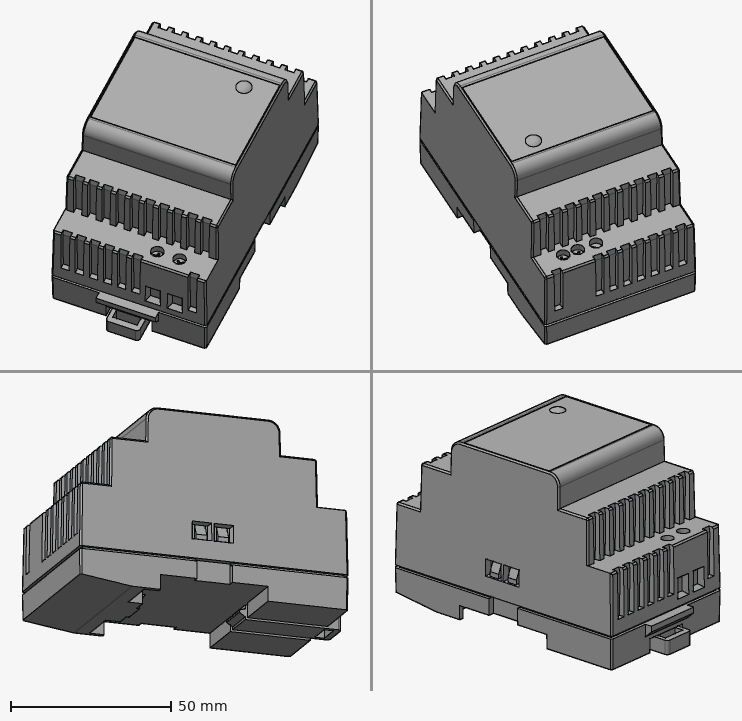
import cadquery as cq
import math


width = 52.5
body_length = 89.2
body_front = -body_length / 2
latch_reach = 49.9
draft_angle = 1.0
draft = math.tan(math.radians(draft_angle))

base_top = 10.5
joint_top = 11.4
joint_inset = 1.1
lower_top = 32.5
middle_top = 48.3
housing_top = 59.5
total_height = 60.3

middle_half_length = 34.6
upper_half_length = 22.4
crown_radius = 4.0
edge_chamfer = 0.6

rail_ceiling = 4.8
rail_half_width = 17.9


def box(x0, x1, y0, y1, z0, z1):
    """Block between two opposite corners."""
    return cq.Workplane("XY").box(x1 - x0, y1 - y0, z1 - z0, centered=False).translate((x0, y0, z0))


def x_prism(points, half_width):
    """Outline given as (Y, Z) points, extruded symmetrically about X = 0."""
    return cq.Workplane("YZ").polyline(points).close().extrude(half_width, both=True)


def drafted(half_length, rise):
    return half_length - rise * draft


def make_housing():
    c = edge_chamfer
    lower_end = drafted(body_length / 2, lower_top - joint_top)
    middle_end = drafted(middle_half_length, middle_top - lower_top)
    upper_rise = housing_top - crown_radius - middle_top
    upper_end = drafted(upper_half_length, upper_rise)
    crown_flat = upper_end - crown_radius
    crown_offset = crown_radius * math.sqrt(0.5)
    crown_mid = (crown_flat + crown_offset, housing_top - crown_radius + crown_offset)

    half_outline = [
        (body_length / 2, joint_top),
        (lower_end, lower_top - c),
        (lower_end - c, lower_top),
        (middle_half_length, lower_top),
        (middle_end, middle_top - c),
        (middle_end - c, middle_top),
        (upper_half_length, middle_top),
        (upper_end, housing_top - crown_radius),
    ]
    mirrored = [(-y, z) for y, z in reversed(half_outline)]
    profile = (
        cq.Workplane("YZ").polyline(half_outline)
        .threePointArc(crown_mid, (crown_flat, housing_top))
        .lineTo(-crown_flat, housing_top)
        .threePointArc((-crown_mid[0], crown_mid[1]), mirrored[0])
    )
    for point in mirrored[1:]:
        profile = profile.lineTo(*point)
    stepped = profile.close().extrude(width / 2, both=True)

    top_half_width = drafted(width / 2, housing_top - joint_top)
    side_draft = (
        cq.Workplane("XZ")
        .polyline([(-width / 2, joint_top), (width / 2, joint_top),
                   (top_half_width, housing_top), (-top_half_width, housing_top)])
        .close().extrude(body_length, both=True)
    )
    housing = stepped.intersect(side_draft)

    rims = []
    for edge in housing.faces("<X or >X").edges().vals():
        middle = edge.Center()
        at_joint = middle.z < joint_top + c
        on_front_shelf = abs(middle.z - lower_top) < c and middle.y < 0
        if not at_joint and not on_front_shelf:
            rims.append(edge)
    return housing.newObject(rims).chamfer(c)


slot_count = 10
first_slot_x = -21.6
last_slot_x = 21.4
slot_pitch = (last_slot_x - first_slot_x) / (slot_count - 1)
slot_top_width = 3.0
slot_narrowing = 0.3
slot_depth = 1.9
slot_lead_height = 1.9
slot_lead_depth = 0.4
lower_slot_floor = 16.2
front_lower_slots = [0, 1, 2, 3, 4, 5, 9]
back_lower_slots = [0, 1, 2, 3, 4, 5, 6, 9]


def slot_cutter(index, end, tier_half_length, floor, top):
    """Slot tapering in width toward its floor; end is -1 for the front and +1 for the back."""
    center = first_slot_x + index * slot_pitch
    top_half = slot_top_width / 2
    floor_half = top_half - slot_narrowing / 2
    back_wall = end * (tier_half_length - slot_depth)
    outside = end * (tier_half_length + slot_depth)
    lead_wall = back_wall - end * slot_lead_depth
    width_wedge = (
        cq.Workplane("XZ")
        .polyline([(center - floor_half, floor), (center + floor_half, floor),
                   (center + top_half, top), (center - top_half, top)])
        .close().extrude(body_length, both=True)
    )
    side_profile = [(outside, floor), (back_wall, floor), (back_wall, top - slot_lead_height),
                    (lead_wall, top), (outside, top)]
    return x_prism(side_profile, width).intersect(width_wedge)


def cut_slots(housing):
    for end, lower_slots in ((-1, front_lower_slots), (1, back_lower_slots)):
        for index in range(slot_count):
            housing = housing.cut(slot_cutter(index, end, middle_half_length, lower_top, middle_top))
        for index in lower_slots:
            housing = housing.cut(slot_cutter(index, end, body_length / 2, lower_slot_floor, lower_top))
    return housing


screw_radius = 2.1
screw_depth = 2.4
drive_length = 2.8
drive_width = 0.6
drive_depth = 0.5
front_screws_y = -38.8
back_screws_y = 37.7
screws = [
    (7.2, front_screws_y, (0, 90)),
    (14.7, front_screws_y, (45, 135)),
    (5.2, back_screws_y, (135,)),
    (11.5, back_screws_y, (45, 135)),
    (16.6, back_screws_y, (0, 90)),
]


def cut_screws(housing):
    head = lower_top - screw_depth
    for x, y, angles in screws:
        well = cq.Workplane("XY").circle(screw_radius).extrude(screw_depth)
        housing = housing.cut(well.translate((x, y, head)))
        for angle in angles:
            drive = cq.Workplane("XY").rect(drive_length, drive_width).extrude(-drive_depth)
            drive = drive.rotate((0, 0, 0), (0, 0, 1), angle)
            housing = housing.cut(drive.translate((x, y, head)))
    return housing


wire_entry_x = [8.1, 15.6]
wire_entry_z = 17.5
wire_entry_size = (5.3, 7.2)
wire_entry_inner = (3.1, 5.0)
wire_entry_depth = 1.9


def cut_wire_entries(housing):
    for x in wire_entry_x:
        funnel = (
            cq.Workplane("XZ", origin=(x, body_front, wire_entry_z)).rect(*wire_entry_size)
            .workplane(offset=-wire_entry_depth).rect(*wire_entry_inner).loft()
        )
        housing = housing.cut(funnel)
    return housing


socket_y = [4.1, -3.2]
socket_size = (6.5, 5.9)
socket_bottom = 17.7
socket_depth = 2.2
socket_floor_size = (5.2, 4.7)
sill_rise = 0.6
ramp_width = 3.5
ramp_setback = 0.7
ramp_foot = 19.5


def cut_sockets(housing):
    side = -width / 2
    floor_x = side + socket_depth
    block_x = side + ramp_setback
    mouth_center = socket_bottom + socket_size[1] / 2
    sill = socket_bottom + sill_rise
    floor_center = sill + socket_floor_size[1] / 2
    ramp_top = sill + socket_floor_size[1]
    ramp_outline = [(floor_x, socket_bottom), (block_x, socket_bottom),
                    (block_x, ramp_foot), (floor_x, ramp_top)]
    for y in socket_y:
        mouth = (
            cq.Workplane("YZ", origin=(side, y, mouth_center)).rect(*socket_size)
            .workplane(offset=socket_depth).center(0, floor_center - mouth_center)
            .rect(*socket_floor_size).loft()
        )
        ramp = (
            cq.Workplane("XZ", origin=(0, y, 0)).polyline(ramp_outline)
            .close().extrude(ramp_width / 2, both=True)
        )
        housing = housing.cut(mouth).union(ramp)
    return housing


label_half_width = 24.6
label_half_length = 17.5
label_depth = 0.2
lens_x = 14.5
lens_y = 12.5
lens_radius = 2.55


def finish_crown(housing):
    floor = housing_top - label_depth
    recess = box(-label_half_width, label_half_width, -label_half_length, label_half_length,
                 floor, total_height)
    rise = total_height - floor
    sphere_radius = (lens_radius ** 2 + rise ** 2) / (2 * rise)
    ball = cq.Workplane("XY").sphere(sphere_radius).translate((lens_x, lens_y, total_height - sphere_radius))
    lens = ball.intersect(
        cq.Workplane("XY").circle(lens_radius).extrude(2 * rise).translate((lens_x, lens_y, floor - rise))
    )
    return housing.cut(recess).union(lens)


heel_start = 27.3
heel_rise = 2.3
side_notch_center = -0.1
side_notch_length = 11.7
side_notch_depth = 2.3
foot_wall = 1.8
clip_half_width = 10.1
foot_relief_end = 22.7


def make_base():
    base = (
        cq.Workplane("XY", origin=(0, 0, base_top)).rect(width, body_length)
        .extrude(-base_top, taper=draft_angle)
        .edges("not (#Z or |X or |Y)").chamfer(edge_chamfer)
    )
    heel = x_prism([(heel_start, 0), (body_length / 2, heel_rise), (body_length / 2, 0)], width)
    base = base.cut(heel)
    base = base.cut(box(-width, width, -rail_half_width, rail_half_width, 0, rail_ceiling))

    inner_half_width = width / 2 - foot_wall
    for x0, x1 in ((-inner_half_width, -clip_half_width), (clip_half_width, inner_half_width)):
        base = base.cut(box(x0, x1, rail_half_width, foot_relief_end, 0, rail_ceiling))
    return base


def make_joint():
    """Core that joins base and housing behind the groove."""
    half_width = width / 2 - joint_inset
    half_length = body_length / 2 - joint_inset
    return box(-half_width, half_width, -half_length, half_length, rail_ceiling, joint_top + edge_chamfer)


def cut_side_notches(part):
    """Recess the middle of both sides, from the rail ceiling up to the housing."""
    notch_front = side_notch_center - side_notch_length / 2
    notch_back = side_notch_center + side_notch_length / 2
    notch_floor = width / 2 - side_notch_depth
    for x0, x1 in ((-width, -notch_floor), (notch_floor, width)):
        part = part.cut(box(x0, x1, notch_front, notch_back, rail_ceiling, joint_top))
    return part


rear_lip_height = 2.9
rear_lip_reach = 0.9
rear_hook = [(16.7, rail_ceiling), (14.9, rail_ceiling), (16.0, 3.6)]
hook_half_width = 4.7

bar_reach = 2.5
bar_face_bottom = 8.5
bar_bottom = 6.2

channel_half_width = 7.7
latch_half_width = 5.7
latch_corner_radius = 1.1
window_half_width = 4.2
window_front = -47.7
nose_tip = -15.9
nose_root_z = (0.85, 3.6)
nose_tip_z = (2.2, 2.8)


def add_rear_clip(base):
    lip = box(-hook_half_width, hook_half_width, rail_half_width - rear_lip_reach, rail_half_width,
              0, rear_lip_height)
    return base.union(lip).union(x_prism(rear_hook, hook_half_width))


def add_pry_bar(base):
    face = body_front - bar_reach
    root = body_front + joint_inset
    outline = [(root, bar_bottom), (body_front, bar_bottom), (face, bar_face_bottom),
               (face, base_top), (root, base_top)]
    return base.union(x_prism(outline, clip_half_width))


def add_latch(base):
    channel = box(-channel_half_width, channel_half_width, -body_length, -rail_half_width, 0, rail_ceiling)
    latch = box(-latch_half_width, latch_half_width, -latch_reach, -rail_half_width, 0, rail_ceiling)
    latch = latch.edges("|Z and <Y").fillet(latch_corner_radius)
    latch = latch.cut(box(-window_half_width, window_half_width, window_front, body_front, 0, rail_ceiling))
    nose = x_prism([(-rail_half_width, nose_root_z[0]), (nose_tip, nose_tip_z[0]),
                    (nose_tip, nose_tip_z[1]), (-rail_half_width, nose_root_z[1])], latch_half_width)
    return base.cut(channel).union(latch).union(nose)


housing = finish_crown(cut_sockets(cut_wire_entries(cut_screws(cut_slots(make_housing())))))
base = add_latch(add_pry_bar(add_rear_clip(make_base())))
result = housing.union(cut_side_notches(base.union(make_joint())))